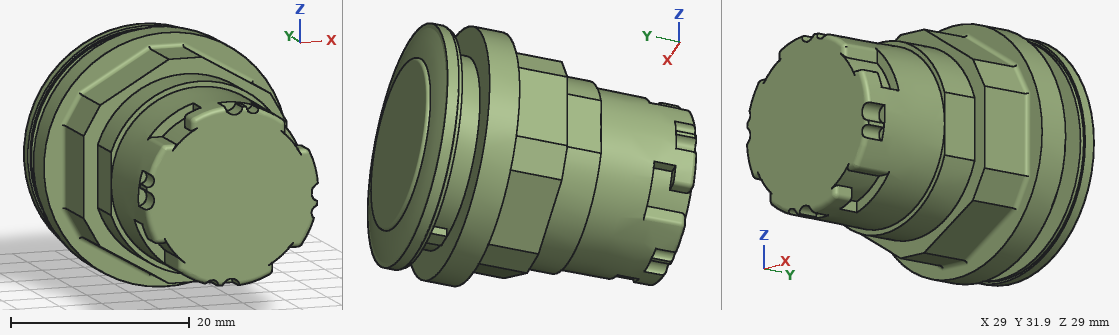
import cadquery as cq
import math

BARREL_END = 11.48
COLLAR_END = 16.0
NUT_END = 22.5
FLANGE_END = 26.03
NECK_END = 29.0
LIP_END = 29.48
DISC_END = 30.8
DOME_END = 31.45
TOTAL_LENGTH = 31.9

BARREL_FRONT_DIAMETER = 20.6
BARREL_DIAMETER = 20.8
CORE_DIAMETER = 18.3
COLLAR_DIAMETER = 22.0
FLANGE_DIAMETER = 29.0
NECK_DIAMETER = 22.2
LIP_DIAMETER = 27.4
DISC_DIAMETER = 27.9
DOME_OUTER_DIAMETER = 26.8
BUTTON_DIAMETER = 19.7
BUTTON_FILLET = 0.35
DOME_BULGE = 0.1

WIDE_FLATS_ACROSS = 24.12
NARROW_FLATS_ACROSS = 25.58
NUT_FILLET = 0.5

REPEATS = 4
SLOT_SIDE_X = -4.85
SLOT_SIDE_Z = 6.35
SLOT_DEPTH = 5.0
HOOK_START = 2.5
HOOK_END_X = -2.95
SLEEVE_INNER_DIAMETER = 16.6
RIM_FILLET = 0.6

NOTCH_DEPTH = 2.55
NOTCH_FLOOR_Z = 9.35
LARGE_NOTCH_RADIUS = 1.05
LARGE_NOTCH_X = 0.2
SMALL_NOTCH_RADIUS = 0.75
SMALL_NOTCH_X = 2.45
RIDGE_TOP_Z = 10.1

KEY_START = 26.5
KEY_END = 28.9
KEY_WIDTH = 1.9
KEY_REACH = 12.1

TOLERANCE = 0.003


def cylinder(start, end, diameter, x=0, z=0):
    """Cylinder along Y between two stations."""
    return cq.Workplane("XZ", origin=(x, start, z)).circle(diameter / 2).extrude(start - end)


def hexagon(start, end, across_flats, turn):
    """Hexagonal prism along Y, turned about Y by an angle in degrees."""
    across_corners = across_flats / math.cos(math.pi / 6)
    prism = cq.Workplane("XZ", origin=(0, start, 0)).polygon(6, across_corners).extrude(start - end)
    return prism.rotate((0, 0, 0), (0, 1, 0), turn)


def box_between(x_range, y_range, z_range):
    sizes = [high - low for low, high in (x_range, y_range, z_range)]
    corner = (x_range[0], y_range[0], z_range[0])
    return cq.Workplane("XY").box(*sizes, centered=False).translate(corner)


def revolve_about_y(profile):
    return profile.close().revolve(360, (0, 0, 0), (0, 1, 0))


def cut_around(body, cutter):
    """Cut equally spaced copies of the cutter around the Y axis."""
    for index in range(REPEATS):
        body = body.cut(cutter.rotate((0, 0, 0), (0, 1, 0), index * 360 / REPEATS))
    return body


def round_segments(sleeve):
    """Round the front rim and the outer slot edges of the barrel segments."""
    core_radius = CORE_DIAMETER / 2
    rounded_edges = []
    for edge in sleeve.edges().vals():
        center = edge.Center()
        is_outside_core = math.hypot(center.x, center.z) > core_radius
        is_before_slot_end = center.y < SLOT_DEPTH - TOLERANCE
        if is_outside_core and is_before_slot_end:
            rounded_edges.append(edge)
    return sleeve.newObject(rounded_edges).fillet(RIM_FILLET)


def cut_rim_notches(sleeve):
    depth = (0, NOTCH_DEPTH)
    for radius, x in ((LARGE_NOTCH_RADIUS, LARGE_NOTCH_X), (SMALL_NOTCH_RADIUS, SMALL_NOTCH_X)):
        sleeve = cut_around(sleeve, cylinder(*depth, 2 * radius, x, NOTCH_FLOOR_Z + radius))
    above_ridge = box_between((LARGE_NOTCH_X, SMALL_NOTCH_X), depth, (RIDGE_TOP_Z, BARREL_DIAMETER))
    return cut_around(sleeve, above_ridge)


def make_barrel():
    sleeve = revolve_about_y(
        cq.Workplane("XY")
        .moveTo(SLEEVE_INNER_DIAMETER / 2, 0)
        .lineTo(BARREL_FRONT_DIAMETER / 2, 0)
        .lineTo(BARREL_DIAMETER / 2, BARREL_END)
        .lineTo(SLEEVE_INNER_DIAMETER / 2, BARREL_END)
    )
    beyond_barrel = BARREL_DIAMETER
    slot_height = (SLOT_SIDE_Z, beyond_barrel)
    entry = box_between((-beyond_barrel, SLOT_SIDE_X), (0, SLOT_DEPTH), slot_height)
    hook = box_between((-BARREL_DIAMETER / 4, HOOK_END_X), (HOOK_START, SLOT_DEPTH), slot_height)
    sleeve = round_segments(cut_around(sleeve, entry))
    sleeve = cut_around(sleeve, hook)
    return cut_rim_notches(sleeve).union(cylinder(0, BARREL_END, CORE_DIAMETER))


def make_collar():
    """Round collar with two flats that are flush with the barrel."""
    span = (BARREL_END, COLLAR_END)
    half_flats = BARREL_DIAMETER / 2
    flats = box_between((-half_flats, half_flats), span, (-COLLAR_DIAMETER, COLLAR_DIAMETER))
    return cylinder(*span, COLLAR_DIAMETER).intersect(flats)


def make_nut_and_flange():
    span = (COLLAR_END, NUT_END)
    nut = hexagon(*span, WIDE_FLATS_ACROSS, 30).intersect(hexagon(*span, NARROW_FLATS_ACROSS, 0))
    body = nut.union(cylinder(NUT_END, FLANGE_END, FLANGE_DIAMETER))
    root_edges = [
        edge
        for edge in body.edges("%LINE").vals()
        if abs(edge.Center().y - NUT_END) < TOLERANCE
    ]
    return body.newObject(root_edges).fillet(NUT_FILLET)


def make_neck():
    key = box_between((-KEY_WIDTH / 2, KEY_WIDTH / 2), (KEY_START, KEY_END), (-KEY_REACH, 0))
    return cylinder(FLANGE_END, NECK_END, NECK_DIAMETER).union(key)


def make_head():
    """Stepped disc with a shallow dome and a raised button face."""
    dome_outer = DOME_OUTER_DIAMETER / 2
    button_outer = BUTTON_DIAMETER / 2
    dome_middle = ((dome_outer + button_outer) / 2, (DISC_END + DOME_END) / 2 + DOME_BULGE)
    return revolve_about_y(
        cq.Workplane("XY")
        .moveTo(0, NECK_END)
        .lineTo(LIP_DIAMETER / 2, NECK_END)
        .lineTo(LIP_DIAMETER / 2, LIP_END)
        .lineTo(DISC_DIAMETER / 2, LIP_END)
        .lineTo(DISC_DIAMETER / 2, DISC_END)
        .lineTo(dome_outer, DISC_END)
        .threePointArc(dome_middle, (button_outer, DOME_END))
        .lineTo(button_outer, TOTAL_LENGTH - BUTTON_FILLET)
        .tangentArcPoint((button_outer - BUTTON_FILLET, TOTAL_LENGTH), relative=False)
        .lineTo(0, TOTAL_LENGTH)
    )


result = (
    make_barrel()
    .union(make_collar())
    .union(make_nut_and_flange())
    .union(make_neck())
    .union(make_head())
)